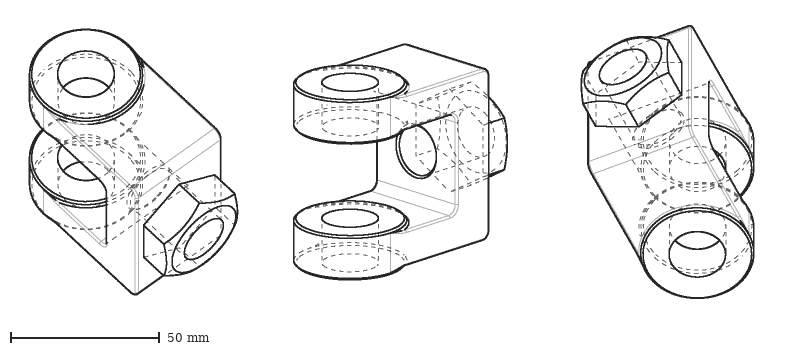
import cadquery as cq
import math

WIDTH = 38.1
EYE_RADIUS = WIDTH / 2
BODY_END_X = 47.625
ARM_THICKNESS = 12.7
WEB_THICKNESS = 15.875
CORNER_RADIUS = 3.175

OVERALL_HEIGHT = 64.01
EYE_RISE = 1.524
EDGE_SIZE = EYE_RISE / 2
PIN_HOLE_DIAMETER = 19.05

HEX_FLATS = 31.75
HEX_LENGTH = 12.7
HEX_END_RADIUS = 14.2875
HEX_BEVEL_ANGLE = 30

BORE_DIAMETER = 17.4625
BORE_MOUTH_DIAMETER = 19.05

BODY_HEIGHT = OVERALL_HEIGHT - 2 * EYE_RISE
SLOT_HEIGHT = BODY_HEIGHT - 2 * ARM_THICKNESS
SLOT_END_X = BODY_END_X - WEB_THICKNESS
EYE_HEIGHT = ARM_THICKNESS + 2 * EYE_RISE
ARM_Z = (SLOT_HEIGHT + ARM_THICKNESS) / 2
HEX_CORNERS = HEX_FLATS / math.cos(math.pi / 6)
BORE_CHAMFER = (BORE_MOUTH_DIAMETER - BORE_DIAMETER) / 2


def box_between(x_start, x_end, width, height):
    """Box from x_start to x_end, centred on the X axis."""
    length = x_end - x_start
    return cq.Workplane("XY").box(length, width, height).translate((x_start + length / 2, 0, 0))


def make_fork():
    """U-shaped fork with rounded corners, square at the arm tips."""
    outer = box_between(0, BODY_END_X, WIDTH, BODY_HEIGHT)
    outer = outer.edges("|Y and >X").fillet(CORNER_RADIUS)
    slot = box_between(-EYE_RADIUS, SLOT_END_X, WIDTH, SLOT_HEIGHT)
    slot = slot.edges("|Y and >X").fillet(CORNER_RADIUS)
    return outer.cut(slot)


def make_eye():
    """Eye of one arm: a disc with chamfered rims, each blended into the arm face below it by a
    concave fillet, trimmed to the outline of the arm."""
    face_z = EYE_HEIGHT / 2
    rim_z = face_z - EDGE_SIZE
    arm_face_z = face_z - EYE_RISE
    face_radius = EYE_RADIUS - EDGE_SIZE
    blend_radius = EYE_RADIUS + EDGE_SIZE
    arc_offset = EDGE_SIZE * math.cos(math.radians(45))
    arc_mid_radius = blend_radius - arc_offset
    arc_mid_z = rim_z - arc_offset
    blended_disc = (
        cq.Workplane("XZ")
        .moveTo(0, -face_z)
        .lineTo(face_radius, -face_z)
        .lineTo(EYE_RADIUS, -rim_z)
        .threePointArc((arc_mid_radius, -arc_mid_z), (blend_radius, -arm_face_z))
        .lineTo(blend_radius, arm_face_z)
        .threePointArc((arc_mid_radius, arc_mid_z), (EYE_RADIUS, rim_z))
        .lineTo(face_radius, face_z)
        .lineTo(0, face_z)
        .close()
        .revolve(360, (0, 0, 0), (0, 1, 0))
    )
    round_end = cq.Workplane("XY").circle(EYE_RADIUS).extrude(face_z, both=True)
    outline = round_end.union(box_between(0, blend_radius, WIDTH, EYE_HEIGHT))
    return blended_disc.intersect(outline)


def round_side_edges(clevis):
    """Round every edge of the two flat sides except where they run on into the eye cylinders."""
    return clevis.faces("<Y or >Y").edges("not <X").fillet(EDGE_SIZE)


def make_hex_boss():
    """Hexagonal boss with flats facing +Y and -Y and a conical bevel on its free end."""
    end_x = BODY_END_X + HEX_LENGTH
    corner_radius = HEX_CORNERS / 2
    bevel_length = (corner_radius - HEX_END_RADIUS) * math.tan(math.radians(HEX_BEVEL_ANGLE))
    hexagon = (
        cq.Workplane("YZ", origin=(SLOT_END_X + WEB_THICKNESS / 2, 0, 0))
        .transformed(rotate=(0, 0, 90))
        .polygon(6, HEX_CORNERS)
        .extrude(WEB_THICKNESS / 2 + HEX_LENGTH)
    )
    bevelled_round = (
        cq.Workplane("XY")
        .moveTo(SLOT_END_X, 0)
        .lineTo(SLOT_END_X, corner_radius)
        .lineTo(end_x - bevel_length, corner_radius)
        .lineTo(end_x, HEX_END_RADIUS)
        .lineTo(end_x, 0)
        .close()
        .revolve(360, (0, 0, 0), (1, 0, 0))
    )
    return hexagon.intersect(bevelled_round)


def make_bore():
    """Cutter for the bore along X, widened by a chamfer where it enters the slot."""
    bore_radius = BORE_DIAMETER / 2
    bore_length = WEB_THICKNESS + HEX_LENGTH
    return (
        cq.Workplane("XY")
        .moveTo(SLOT_END_X, 0)
        .lineTo(SLOT_END_X, bore_radius + BORE_CHAMFER)
        .lineTo(SLOT_END_X + BORE_CHAMFER, bore_radius)
        .lineTo(SLOT_END_X + bore_length, bore_radius)
        .lineTo(SLOT_END_X + bore_length, 0)
        .close()
        .revolve(360, (0, 0, 0), (1, 0, 0))
    )


def make_pin_holes():
    """Cutter for the pin hole through both eyes."""
    return cq.Workplane("XY").circle(PIN_HOLE_DIAMETER / 2).extrude(OVERALL_HEIGHT / 2, both=True)


clevis = make_fork()
for arm_z in (-ARM_Z, ARM_Z):
    clevis = clevis.union(make_eye().translate((0, 0, arm_z)))
clevis = clevis.cut(make_pin_holes())
clevis = round_side_edges(clevis)
result = clevis.union(make_hex_boss()).cut(make_bore())